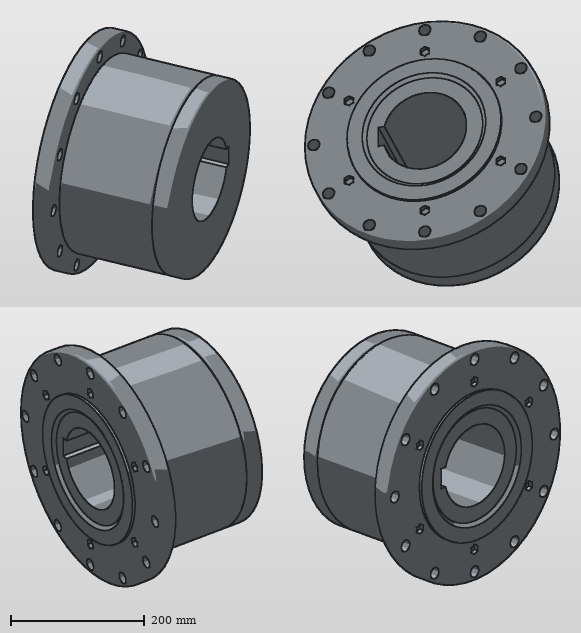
import cadquery as cq
import math

flange_radius = 187.5
body_radius = 155.0
ring_radius = 119.5
bore_radius = 65.0

ring_height = 5.0
flange_thickness = 29.2
total_length = 214.0
flange_back = ring_height + flange_thickness

edge_radius = 3.8
groove_position = 186.0

recess_radius = 96.0
recess_floor_radius = 90.0
recess_depth = ring_height

keyway_width = 32.2
keyway_reach = 72.5

bolt_count = 12
bolt_circle_radius = 172.5
bolt_hole_radius = 9.0

socket_count = 6
socket_circle_radius = 136.0
socket_across_flats = 14.0
socket_depth = 8.0
socket_sides = 6


def revolved_blank():
    """Ring, flange and grooved body, with the recess and bore left open."""
    arc_inset = edge_radius * (1 - math.sqrt(0.5))
    flange_shoulder = flange_radius - edge_radius
    body_shoulder = body_radius - edge_radius

    def round_up(sketch, start, radius):
        """Rounded edge rising from a face at x = start to a cylinder of the given radius."""
        return sketch.threePointArc(
            (start + arc_inset, radius - arc_inset), (start + edge_radius, radius)
        )

    def round_down(sketch, end, radius):
        """Rounded edge falling from a cylinder of the given radius to a face at x = end."""
        return sketch.lineTo(end - edge_radius, radius).threePointArc(
            (end - arc_inset, radius - arc_inset), (end, radius - edge_radius)
        )

    sketch = (
        cq.Workplane("XY")
        .moveTo(recess_depth, bore_radius)
        .lineTo(recess_depth, recess_floor_radius)
        .lineTo(0, recess_radius)
        .lineTo(0, ring_radius)
        .lineTo(ring_height, ring_radius)
        .lineTo(ring_height, flange_shoulder)
    )
    sketch = round_up(sketch, ring_height, flange_radius)
    sketch = round_down(sketch, flange_back, flange_radius)
    sketch = sketch.lineTo(flange_back, body_shoulder)
    sketch = round_up(sketch, flange_back, body_radius)
    sketch = round_down(sketch, groove_position, body_radius)
    sketch = round_up(sketch, groove_position, body_radius)
    sketch = round_down(sketch, total_length, body_radius)
    sketch = sketch.lineTo(total_length, bore_radius).close()
    return sketch.revolve(360, (0, 0, 0), (1, 0, 0))


def keyway():
    """Full-length slot on the +Y side of the bore."""
    return cq.Workplane("XY").box(
        total_length, keyway_reach, keyway_width, centered=(False, False, True)
    )


def bolt_holes():
    """Through holes around the flange rim, one of them straight above the axis."""
    return (
        cq.Workplane("YZ", origin=(ring_height, 0, 0))
        .polarArray(bolt_circle_radius, 90, 360, bolt_count)
        .circle(bolt_hole_radius)
        .extrude(flange_thickness)
    )


def hex_sockets():
    """Blind hexagonal sockets in the flange face, each with corners pointing along Z."""
    across_corners = socket_across_flats / math.cos(math.pi / socket_sides)
    return (
        cq.Workplane("YZ", origin=(ring_height, 0, 0))
        .polarArray(socket_circle_radius, 90, 360, socket_count)
        .polygon(socket_sides, across_corners)
        .extrude(socket_depth)
    )


result = revolved_blank().cut(keyway()).cut(bolt_holes()).cut(hex_sockets())